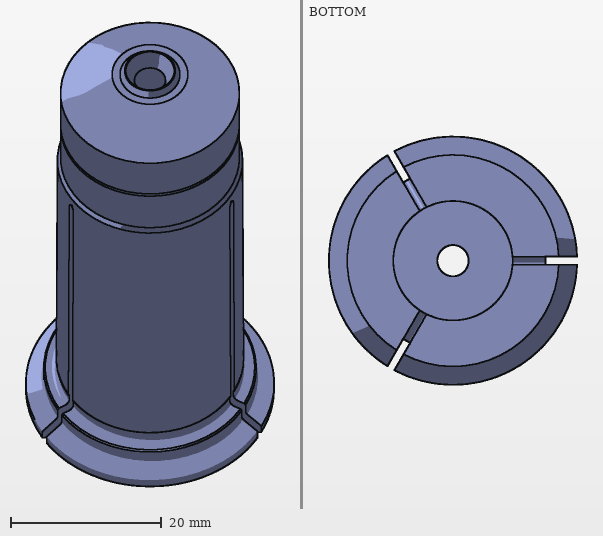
import cadquery as cq
import math

height = 69.9
rim_radius = 16.5

flange_angle = math.radians(30)
foot_radius = 14.05
rim_bottom = (rim_radius - foot_radius) * math.tan(flange_angle)
rim_top = 2.8
collar_radius = 14.1
collar_bottom = rim_top + (rim_radius - collar_radius) * math.tan(flange_angle)
collar_top = 6.1
collar_chamfer = 0.2
collar_fillet = 0.55
rim_edge_fillet = 0.2

neck_radius = 12.3
neck_fillet = 0.8
neck_top = 7.7
neck_step = 0.2

body_bottom_radius = 12.45
body_top_radius = 12.3
body_top = 50.7

head_radius = 11.9
head_bottom = 51.3
groove_bottom = 58.1
groove_top = 58.6
groove_depth = 0.2

top_angle = math.radians(30)
shoulder_radius = 5.0
nose_base_radius = 4.0
nose_tip_radius = 3.35
nose_base = 69.1
head_top = nose_base - (head_radius - shoulder_radius) * math.tan(top_angle)

bore_radius = 15.9 / 2
bore_top = groove_bottom
centre_hole_radius = 4.1 / 2
countersink_radius = 3.2
countersink_half_angle = math.radians(30)
countersink_depth = (countersink_radius - centre_hole_radius) / math.tan(countersink_half_angle)

slot_count = 3
slot_width = 1.05
slot_top = 49.2
slot_end_slope = 1.35
slot_inner_radius = 6.3
slot_outer_radius = 18.2


def make_body():
    """Revolve the solid outer outline about Z."""
    outline = (
        cq.Workplane("XZ")
        .moveTo(0, 0)
        .lineTo(foot_radius, 0)
        .lineTo(rim_radius, rim_bottom)
        .lineTo(rim_radius, rim_top)
        .lineTo(collar_radius, collar_bottom)
        .lineTo(collar_radius, collar_top - collar_chamfer)
        .lineTo(collar_radius - collar_chamfer, collar_top)
        .lineTo(neck_radius + neck_fillet, collar_top)
        .radiusArc((neck_radius, collar_top + neck_fillet), neck_fillet)
        .lineTo(neck_radius, neck_top)
        .lineTo(body_bottom_radius, neck_top + neck_step)
        .lineTo(body_top_radius, body_top)
        .lineTo(head_radius, head_bottom)
        .lineTo(head_radius, groove_bottom)
        .lineTo(head_radius - groove_depth, groove_top)
        .lineTo(head_radius, groove_top)
        .lineTo(head_radius, head_top)
        .lineTo(shoulder_radius, nose_base)
        .lineTo(nose_base_radius, nose_base)
        .lineTo(nose_tip_radius, height)
        .lineTo(0, height)
        .close()
    )
    body = outline.revolve(360, (0, 0, 0), (0, 1, 0))
    rim_edges = cq.selectors.BoxSelector(
        (-rim_radius, -rim_radius, rim_bottom / 2),
        (rim_radius, rim_radius, (rim_top + collar_bottom) / 2),
        boundingbox=False,
    )
    body = body.edges("%CIRCLE").edges(rim_edges).fillet(rim_edge_fillet)
    root_edge = cq.selectors.NearestToPointSelector((0, 0, collar_bottom))
    return body.edges("%CIRCLE").edges(root_edge).fillet(collar_fillet)


def make_bore():
    """Wide bore from below, joined to a countersunk centre hole in the nose."""
    outline = [
        (0, 0),
        (bore_radius, 0),
        (bore_radius, bore_top),
        (centre_hole_radius, bore_top),
        (centre_hole_radius, height - countersink_depth),
        (countersink_radius, height),
        (0, height),
    ]
    return cq.Workplane("XZ").polyline(outline).close().revolve(360, (0, 0, 0), (0, 1, 0))


def make_slot():
    """Slot along +X, open at the bottom, with a sloping half-round upper end."""
    run = slot_outer_radius - slot_inner_radius
    slope_length = math.hypot(1, slot_end_slope)
    axis_at_surface = slot_top - slot_width / 2 * slope_length
    inner_end = axis_at_surface - slot_end_slope * (body_top_radius - slot_inner_radius)
    outer_end = inner_end + slot_end_slope * run
    slab = (
        cq.Workplane("XZ", origin=(0, slot_width / 2, 0))
        .moveTo(slot_inner_radius, 0)
        .lineTo(slot_outer_radius, 0)
        .lineTo(slot_outer_radius, outer_end)
        .lineTo(slot_inner_radius, inner_end)
        .close()
        .extrude(slot_width)
    )
    round_end = cq.Solid.makeCylinder(
        slot_width / 2,
        run * slope_length,
        cq.Vector(slot_inner_radius, 0, inner_end),
        cq.Vector(1, 0, slot_end_slope),
    )
    return slab.union(cq.Workplane(round_end))


result = make_body().cut(make_bore())
slot = make_slot()
for index in range(slot_count):
    result = result.cut(slot.rotate((0, 0, 0), (0, 0, 1), index * 360 / slot_count))